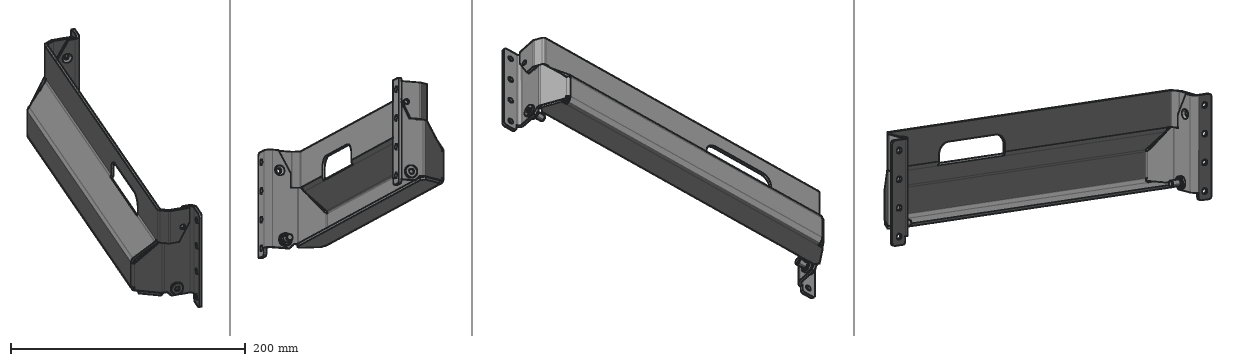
import cadquery as cq
import math

overall_width = 338.8
overall_depth = 53.0
overall_height = 91.84
sheet = 2.5
seam = 0.1
margin = 1.0

half_width = overall_width / 2
wall_half = 152.7
flap_half = wall_half + sheet + seam
flange_bend = 3.0
flap_side_bend = 0.8
wall_side_bend = 1.5
hood_bend = 3.0
slope_angle = math.radians(45)
slant = math.radians(60)
flap_bend_y = -24.8
band_y = -33.3
front_y = -overall_depth


def slant_x(y):
    """Half width of the slanted side's outer face at depth y."""
    return flap_half - (flap_bend_y - y) / math.tan(slant)


wall_bend_y = flap_bend_y - (flap_half - wall_half) * math.tan(slant)

seam_z = overall_height - 31.7
slope_z = overall_height - 32.9
brow_z = slope_z - (band_y - front_y)
lip_z = 8.2
side_bottom_z = lip_z + sheet + 0.5
wall_bottom_z = 7.0
outer_bend = hood_bend + sheet
bend_reach = outer_bend * math.tan(slope_angle / 2)
brow_tangent_z = brow_z - bend_reach
lip_tangent_z = lip_z + outer_bend

flap_back_y = -6.0
flap_corner_z = overall_height - 13.3
flap_corner_y = -15.7
wall_top_y = -11.2
wall_front_y = -22.6
wall_slant_drop = (wall_top_y - wall_front_y) * math.tan(slant)
side_top_y = -32.4
side_brow_y = -50.5
side_brow_z = brow_tangent_z + 0.8
wall_chamfer_y = -21.7
wall_chamfer_end_y = wall_chamfer_y - (side_bottom_z - wall_bottom_z)
lip_back_y = -27.3
lip_corner_x = 148.0
lip_corner_y = -31.0
hood_front_half = 137.1
slope_top_half = 145.3

window_left = 27.0
window_right = 97.0
window_top = overall_height - 15.8
window_radius = 10.0
flange_hole = 5.2
flange_hole_inset = 7.2
flange_hole_top = 9.2
flange_hole_pitch = 25.0
flange_hole_count = 4
flange_corner = 3.0
rivet_hole = 4.5
rivet_countersink = 8.75
rivet_y = -12.4
rivet_z = overall_height - 17.6

plunger_y = -17.1
plunger_z = 14.0
bushing_diameter = 11.0
bushing_rim = 10.55
bushing_shank = 8.72
bushing_hole = 8.75
head_length = 2.0
head_chamfer_length = 1.0
collar_length = 3.4
collar_chamfer = 1.0
pin_diameter = 6.0
pin_tip = 4.92
pin_tip_length = 1.0
pin_reach = 12.0
socket_diameter = 4.5
wall_inner = wall_half - sheet
head_end = wall_half + head_length
pin_end = wall_half


def unit(a, b):
    """Direction from a to b."""
    length = math.dist(a, b)
    return ((b[0] - a[0]) / length, (b[1] - a[1]) / length)


def rounded_face(path, radii, offset):
    """Start, bend arcs and end of the strip face that lies offset to the left of the path."""
    dirs = [unit(a, b) for a, b in zip(path, path[1:])]
    start = (path[0][0] - offset * dirs[0][1], path[0][1] + offset * dirs[0][0])
    end = (path[-1][0] - offset * dirs[-1][1], path[-1][1] + offset * dirs[-1][0])
    bends = []
    for corner, before, after, inner in zip(path[1:-1], dirs, dirs[1:], radii):
        cross = before[0] * after[1] - before[1] * after[0]
        dot = before[0] * after[0] + before[1] * after[1]
        side = math.copysign(1, cross)
        half_turn = abs(math.atan2(cross, dot)) / 2
        radius = inner + sheet - offset if side > 0 else inner + offset
        normal = (-before[1] - after[1], before[0] + after[0])
        scale = 1 / (1 + dot)
        cx = corner[0] + offset * scale * normal[0]
        cy = corner[1] + offset * scale * normal[1]
        reach = radius * math.tan(half_turn)
        entry = (cx - reach * before[0], cy - reach * before[1])
        leave = (cx + reach * after[0], cy + reach * after[1])
        sag = radius * (1 / math.cos(half_turn) - 1)
        length = math.hypot(*normal)
        mid = (cx + side * sag * normal[0] / length, cy + side * sag * normal[1] / length)
        bends.append((entry, mid, leave))
    return start, bends, end


def folded_strip(plane, path, radii):
    """Closed outline of a folded strip: the path is one face, the sheet lies on its left."""
    start, bends, end = rounded_face(path, radii, 0)
    outline = cq.Workplane(plane).moveTo(*start)
    for entry, mid, leave in bends:
        outline = outline.lineTo(*entry).threePointArc(mid, leave)
    outline = outline.lineTo(*end)
    back_start, back_bends, back_end = rounded_face(path, radii, sheet)
    outline = outline.lineTo(*back_end)
    for entry, mid, leave in reversed(back_bends):
        outline = outline.lineTo(*leave).threePointArc(mid, entry)
    return outline.lineTo(*back_start).close()


def mirrored(points):
    """Outline of the left half continued through its mirror image in X."""
    return points + [(-x, y) for x, y in reversed(points)]


def side_prism(points):
    """A (Y, Z) outline run across the whole width."""
    return cq.Workplane("YZ").polyline(points).close().extrude(half_width + margin, both=True)


def cross_hole(diameter, y, z, start_x, length):
    """Pair of cylinders along X, one per side, running outward from start_x."""
    hole = cq.Workplane("YZ", origin=(start_x, 0, 0)).center(y, z).circle(diameter / 2).extrude(length)
    return hole.union(hole.mirror("YZ"))


def upper_band():
    """Upper front plate with its slanted sides and the flaps lapping the walls."""
    path = mirrored([
        (-flap_half, flap_back_y),
        (-flap_half, flap_bend_y),
        (-slant_x(band_y), band_y),
    ])
    band = folded_strip("XY", path, [flap_side_bend] * 4).extrude(overall_height - seam_z)
    band = band.translate((0, 0, seam_z))
    corner = side_prism([
        (flap_back_y + margin, flap_corner_z),
        (flap_back_y, flap_corner_z),
        (flap_corner_y, seam_z),
        (flap_corner_y, seam_z - margin),
        (flap_back_y + margin, seam_z - margin),
    ])
    return band.cut(corner)


def window_tool():
    """Opening rounded at the top, ending below square to the slope where the bend runs into it."""
    opening = (
        cq.Workplane("XZ")
        .center((window_left + window_right) / 2, window_top / 2)
        .rect(window_right - window_left, window_top)
        .extrude(overall_depth)
        .edges("|Y and >Z").fillet(window_radius)
    )
    bend_drop = hood_bend * math.tan(slope_angle / 2) * math.cos(slope_angle)
    end_y = band_y - bend_drop
    end_z = slope_z - bend_drop
    reach = 3 * sheet
    return opening.intersect(side_prism([
        (end_y, end_z),
        (end_y + reach, end_z - reach),
        (end_y + reach, overall_height),
        (end_y, overall_height),
    ]))


def slanted_edge_tool():
    """Trims the sloping top edges of both slanted sides, square to their sheet."""
    face = cq.Plane(
        origin=(-slant_x(side_top_y), side_top_y, 0),
        xDir=(math.cos(slant), -math.sin(slant), 0),
        normal=(-math.sin(slant), -math.cos(slant), 0),
    )
    brow = (side_top_y - side_brow_y) / math.sin(slant)
    tool = (
        cq.Workplane(face)
        .polyline([
            (0, seam_z),
            (brow, side_brow_z),
            (brow + 2 * sheet, side_brow_z),
            (brow + 2 * sheet, seam_z),
        ])
        .close()
        .extrude(2 * sheet, both=True)
    )
    return tool.union(tool.mirror("YZ"))


def lower_band():
    """Flanges, side walls, slanted sides and the front of the lower box."""
    path = mirrored([
        (-half_width, -sheet),
        (-wall_half, -sheet),
        (-wall_half, wall_bend_y),
        (-slant_x(front_y), front_y),
    ])
    radii = [flange_bend, wall_side_bend, wall_side_bend]
    band = folded_strip("XY", path, radii + radii[::-1]).extrude(overall_height)
    front_back_y = front_y + sheet
    profile = side_prism([
        (0, 0),
        (0, overall_height),
        (wall_top_y, overall_height),
        (wall_front_y, overall_height - wall_slant_drop),
        (wall_front_y, seam_z - seam),
        (side_brow_y, seam_z - seam),
        (side_brow_y, brow_tangent_z),
        (front_y, brow_tangent_z),
        (front_y, lip_tangent_z),
        (front_back_y, lip_tangent_z),
        (front_back_y, side_bottom_z),
        (wall_chamfer_end_y, side_bottom_z),
        (wall_chamfer_y, wall_bottom_z),
        (-sheet, wall_bottom_z),
        (-sheet, 0),
    ])
    band = band.intersect(profile)
    band = band.cut(slanted_edge_tool())
    flange_inner = wall_half + flange_bend
    below_wall = cq.Workplane("XY").rect(2 * flange_inner, 2 * overall_depth).extrude(wall_bottom_z)
    band = band.cut(below_wall)
    return band.edges("|Y").edges("<X or >X or <Z").fillet(flange_corner)


def hood():
    """Slope, brow bend, front bend and bottom lip."""
    path = [
        (band_y, slope_z + outer_bend),
        (band_y, slope_z),
        (front_y, brow_z),
        (front_y, lip_z),
        (lip_back_y, lip_z),
    ]
    strip = folded_strip("YZ", path, [hood_bend] * 3).extrude(half_width, both=True)
    slope_face = cq.Plane(origin=(0, band_y, slope_z), xDir=(1, 0, 0), normal=(0, -1, 1))
    slope_length = math.hypot(front_y - band_y, brow_z - slope_z)
    slope_outline = mirrored([
        (-slope_top_half, overall_height),
        (-slope_top_half, 0),
        (-hood_front_half, bend_reach - slope_length),
        (-hood_front_half, -overall_height),
    ])
    upper = cq.Workplane(slope_face).polyline(slope_outline).close().extrude(overall_height, both=True)
    above_lip = cq.Workplane("XY").rect(overall_width, 2 * overall_depth).extrude(overall_height)
    upper = upper.intersect(above_lip.translate((0, 0, lip_tangent_z)))
    lip_front_y = front_y + outer_bend
    lower_plan = mirrored([
        (-lip_corner_x, lip_back_y),
        (-slant_x(lip_corner_y), lip_corner_y),
        (-slant_x(lip_front_y), lip_front_y),
        (-hood_front_half, lip_front_y),
        (-hood_front_half, front_y),
    ])
    lower = cq.Workplane("XY").polyline(lower_plan).close().extrude(lip_tangent_z)
    return strip.intersect(upper.union(lower))


def rivet_countersinks():
    """90 degree cones opening toward the inside of both walls."""
    radius = rivet_countersink / 2
    cone = cq.Workplane(cq.Solid.makeCone(
        radius, 0, radius, cq.Vector(wall_inner, rivet_y, rivet_z), cq.Vector(1, 0, 0)
    ))
    return cone.union(cone.mirror("YZ"))


def make_cover():
    """The folded sheet with all its openings."""
    cover = upper_band().union(lower_band()).union(hood()).cut(window_tool())
    hole_x = half_width - flange_hole_inset
    top_z = overall_height - flange_hole_top
    points = []
    for i in range(flange_hole_count):
        for x in (-hole_x, hole_x):
            points.append((x, top_z - i * flange_hole_pitch))
    cover = cover.cut(cq.Workplane("XZ").pushPoints(points).circle(flange_hole / 2).extrude(sheet))
    cover = cover.cut(cross_hole(rivet_hole, rivet_y, rivet_z, wall_inner, 3 * sheet))
    cover = cover.cut(rivet_countersinks())
    return cover.cut(cross_hole(bushing_hole, plunger_y, plunger_z, wall_inner, sheet))


def revolved(outline):
    """Turn an (X, radius) outline about the plunger axis."""
    axis = cq.Workplane("XY", origin=(0, plunger_y, plunger_z))
    return axis.polyline(outline).close().revolve(360, (0, 0), (1, 0))


def make_bushing():
    """Collar inside the wall, shank through it and head outside, bored for the pin."""
    radius = bushing_diameter / 2
    collar_end = wall_inner - collar_length
    return revolved([
        (collar_end, pin_diameter / 2),
        (collar_end, radius - collar_chamfer),
        (collar_end + collar_chamfer, radius),
        (wall_inner, radius),
        (wall_inner, bushing_shank / 2),
        (wall_half, bushing_shank / 2),
        (wall_half, radius),
        (head_end - head_chamfer_length, radius),
        (head_end, bushing_rim / 2),
        (head_end, socket_diameter / 2),
        (pin_end, socket_diameter / 2),
        (pin_end, pin_diameter / 2),
    ])


def make_pin():
    """Plunger pin with a chamfered tip pointing inward."""
    tip_x = wall_inner - pin_reach
    return revolved([
        (tip_x, 0),
        (tip_x, pin_tip / 2),
        (tip_x + pin_tip_length, pin_diameter / 2),
        (pin_end, pin_diameter / 2),
        (pin_end, 0),
    ])


cover = make_cover()
bodies = [cover.val()]
for part in (make_bushing(), make_pin()):
    bodies.append(part.val())
    bodies.append(part.mirror("YZ").val())

result = cq.Compound.makeCompound(bodies)